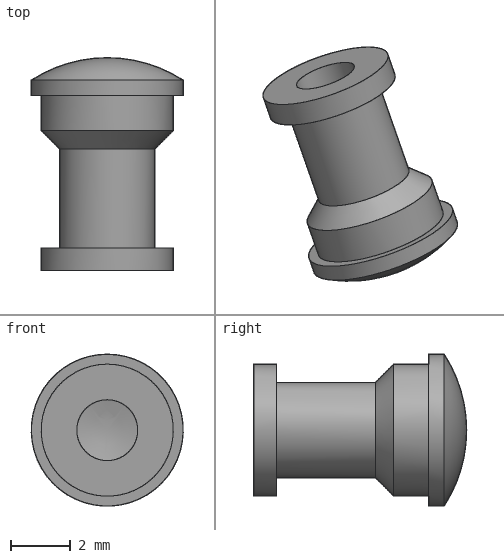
import cadquery as cq
import math

total_length = 7.11
head_diameter = 5.08
flange_diameter = 4.41
shank_diameter = 3.185
bore_diameter = 2.03

foot_thickness = 0.76
shank_length = 3.3
taper_length = 0.61
collar_length = 1.165
rim_thickness = 0.52

dome_wall = rim_thickness

head_radius = head_diameter / 2
flange_radius = flange_diameter / 2
shank_radius = shank_diameter / 2
bore_radius = bore_diameter / 2

taper_start = foot_thickness + shank_length
taper_end = taper_start + taper_length
rim_start = taper_end + collar_length
rim_end = rim_start + rim_thickness

dome_height = total_length - rim_end
dome_sphere_radius = (head_radius**2 + dome_height**2) / (2 * dome_height)


def dome_point(crown_station, radius):
    """Point (station, radius) on a dome whose crown lies at the given station."""
    drop = dome_sphere_radius - math.sqrt(dome_sphere_radius**2 - radius**2)
    return crown_station - drop, radius


def revolve_about_y(profile):
    """Turn a half profile, given as (station, radius), around the Y axis."""
    return profile.close().revolve(360, (0, 0), (1, 0))


def make_body():
    """Solid rivet with foot, shank, taper, collar, rim and spherical dome."""
    profile = (
        cq.Workplane("YZ")
        .lineTo(0, flange_radius)
        .lineTo(foot_thickness, flange_radius)
        .lineTo(foot_thickness, shank_radius)
        .lineTo(taper_start, shank_radius)
        .lineTo(taper_end, flange_radius)
        .lineTo(rim_start, flange_radius)
        .lineTo(rim_start, head_radius)
        .lineTo(rim_end, head_radius)
        .threePointArc(dome_point(total_length, head_radius / 2), (total_length, 0))
    )
    return revolve_about_y(profile)


def make_bore():
    """Blind bore whose end is a shallow dome of the same radius as the head."""
    bore_depth = total_length - dome_wall
    profile = (
        cq.Workplane("YZ")
        .lineTo(0, bore_radius)
        .lineTo(*dome_point(bore_depth, bore_radius))
        .threePointArc(dome_point(bore_depth, bore_radius / 2), (bore_depth, 0))
    )
    return revolve_about_y(profile)


result = make_body().cut(make_bore())